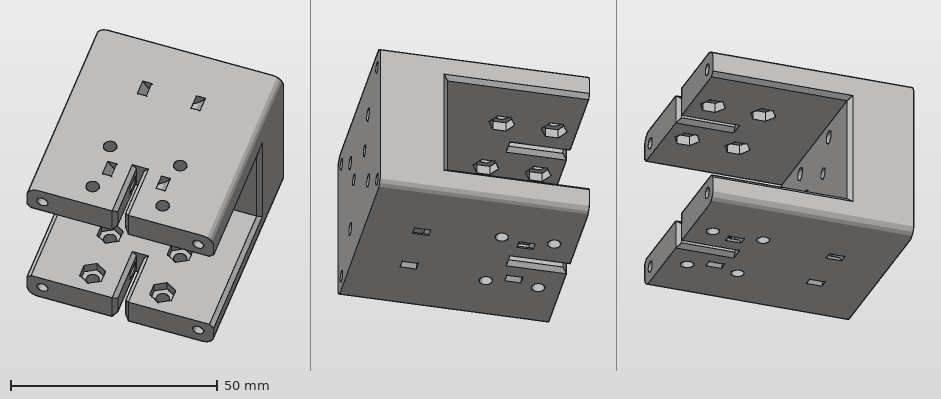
import cadquery as cq

WIDTH = 48.0
LENGTH = 52.0
HEIGHT = 42.0
CORNER_RADIUS = 3.0
ARM_THICKNESS = 7.5
BACK_WALL = 16.9
OPENING_HEIGHT = HEIGHT - 2 * ARM_THICKNESS
OPENING_DEPTH = LENGTH - BACK_WALL
EDGE_CHAMFER = 1.1

SLOT_WIDTH = 2.0
SLOT_DEPTH = 15.0

SMALL_HOLE = 2.8
LARGE_HOLE = 3.2
CORNER_SPACING_X = 40.0
CORNER_SPACING_Z = 34.0
MOUNT_SPACING = 20.0
PAIR_SPACING = 12.0
PAIR_Z = 2.0

SCREW_SPACING_X = 18.0
SCREW_SPACING_Y = 13.0
SCREW_CENTRE_Y = 12.0
NUT_DIAMETER = 6.4
NUT_DEPTH = 2.5

STRAP_WIDTH = 4.0
STRAP_OUTER_RADIUS = 9.0
STRAP_INNER_RADIUS = 7.0
STRAP_AXIS_OFFSET = 4.0
STRAP_REAR_Y = 38.0
STRAP_PLACES_Y = (SCREW_CENTRE_Y, STRAP_REAR_Y)


def front_plane(y):
    """Sketch plane facing the front (-Y) at depth y, with X across and Z up."""
    return cq.Workplane("XZ", origin=(0, y, 0))


def body():
    block = front_plane(0).rect(WIDTH, HEIGHT).extrude(-LENGTH)
    return block.edges("|Y").fillet(CORNER_RADIUS)


def opening():
    """Front opening across the full width, flared at both side faces."""
    def cutter(x, margin):
        """Opening outline on the plane at x, grown by margin on its three walls."""
        return (
            cq.Workplane("YZ", origin=(x, 0, 0))
            .center((OPENING_DEPTH + margin) / 2, 0)
            .rect(OPENING_DEPTH + margin, OPENING_HEIGHT + 2 * margin)
        )

    cut = cutter(-WIDTH / 2, 0).extrude(WIDTH)
    flare = (
        cutter(-WIDTH / 2, EDGE_CHAMFER)
        .workplane(offset=EDGE_CHAMFER)
        .center(-EDGE_CHAMFER / 2, 0)
        .rect(OPENING_DEPTH, OPENING_HEIGHT)
        .loft(ruled=True)
    )
    return cut.union(flare).union(flare.mirror("YZ"))


def arm_slot():
    """Slot in the upper arm, chamfered along its top, bottom and front edges."""
    arm_middle = (HEIGHT - ARM_THICKNESS) / 2
    slot = front_plane(0).center(0, arm_middle).rect(SLOT_WIDTH, ARM_THICKNESS).extrude(-SLOT_DEPTH)
    half_slot = SLOT_WIDTH / 2
    half_mouth = half_slot + EDGE_CHAMFER

    def wedge(plane, length):
        """V-shaped flare, widest at the plane's local Y = 0."""
        return (
            plane.moveTo(-half_mouth, 0)
            .lineTo(half_mouth, 0)
            .lineTo(half_slot, -EDGE_CHAMFER)
            .lineTo(-half_slot, -EDGE_CHAMFER)
            .close()
            .extrude(length)
        )

    top = wedge(cq.Workplane("XZ", origin=(0, 0, HEIGHT / 2)), -SLOT_DEPTH)
    bottom = top.mirror("XY", (0, 0, arm_middle))
    mouth_plane = cq.Plane(origin=(0, 0, HEIGHT / 2), xDir=(1, 0, 0), normal=(0, 0, -1))
    front = wedge(cq.Workplane(mouth_plane), ARM_THICKNESS)
    return slot.union(top).union(bottom).union(front)


def holes_along_y():
    corners = (
        front_plane(0)
        .rect(CORNER_SPACING_X, CORNER_SPACING_Z, forConstruction=True)
        .vertices()
        .circle(SMALL_HOLE / 2)
        .extrude(-LENGTH)
    )
    mounts = (
        front_plane(0)
        .rect(MOUNT_SPACING, MOUNT_SPACING, forConstruction=True)
        .vertices()
        .circle(LARGE_HOLE / 2)
        .extrude(-LENGTH)
    )
    pair = (
        front_plane(0)
        .pushPoints([(side * PAIR_SPACING / 2, PAIR_Z) for side in (-1, 1)])
        .circle(SMALL_HOLE / 2)
        .extrude(-LENGTH)
    )
    return corners.union(mounts).union(pair)


def screw_holes():
    """Four screw holes through the upper arm with nut pockets on its inner face."""
    inner_face = cq.Workplane("XY", origin=(0, SCREW_CENTRE_Y, OPENING_HEIGHT / 2))

    def places():
        return inner_face.rect(SCREW_SPACING_X, SCREW_SPACING_Y, forConstruction=True).vertices()

    holes = places().circle(LARGE_HOLE / 2).extrude(ARM_THICKNESS)
    nut = cq.Workplane("XY").polygon(6, NUT_DIAMETER).extrude(NUT_DEPTH)
    nut = nut.rotate((0, 0, 0), (0, 0, 1), 90)
    pockets = places().eachpoint(lambda place: nut.val().moved(place), combine=False)
    return holes.union(pockets)


def strap_channels():
    """Arc-shaped channels that dip into the upper arm from its outer face."""
    channels = cq.Workplane("XY")
    for y in STRAP_PLACES_Y:
        ring = (
            front_plane(y - STRAP_WIDTH / 2)
            .center(0, HEIGHT / 2 + STRAP_AXIS_OFFSET)
            .circle(STRAP_OUTER_RADIUS)
            .circle(STRAP_INNER_RADIUS)
            .extrude(-STRAP_WIDTH)
        )
        channels = channels.union(ring)
    return channels


result = body().cut(opening()).cut(holes_along_y())

for arm_feature in (arm_slot(), screw_holes(), strap_channels()):
    result = result.cut(arm_feature).cut(arm_feature.mirror("XY"))